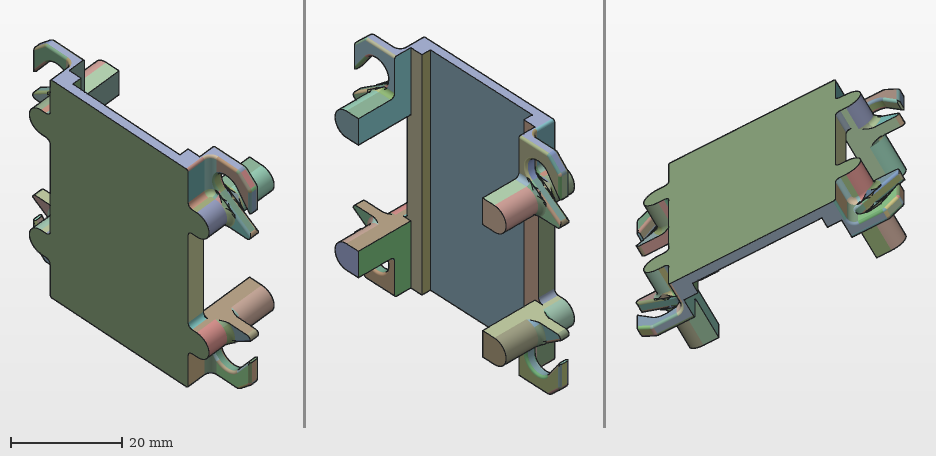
import cadquery as cq
import math

plate_half_width = 17.1
plate_half_length = 27.2
plate_thickness = 4.0
channel_half_width = 13.25
channel_floor = 1.9

blade_span = 53.89
blade_tip_x = blade_span / 2
rail_inner_x = 16.15
blade_back_y = 8.0
blade_thickness = 2.2
blade_front_y = blade_back_y - blade_thickness
blade_mid_y = (blade_front_y + blade_back_y) / 2
blade_chamfer = 3.0
hook_tip_z = 18.6

boss_x = 19.25
boss_z = 15.0
boss_radius = 3.0
boss_height = 17.0
boss_bottom_z = boss_z - boss_radius
boss_top_z = boss_z + boss_radius

seat_x = 21.0
seat_z = 21.1
seat_radius = 3.0
seat_top_z = seat_z + seat_radius
upper_flank_angle = math.radians(55)

bend_radius = 1.5
root_radius = 1.0
corner_radius = 1.0
edge_radius = 0.5

boss_offset_x = seat_x - boss_x
boss_offset_z = seat_z - boss_z
boss_distance = math.hypot(boss_offset_x, boss_offset_z)
lower_flank_angle = math.atan2(boss_offset_x, boss_offset_z) + math.acos(
    (seat_radius + boss_radius) / boss_distance
)

upper_touch_x = seat_x + seat_radius * math.sin(upper_flank_angle)
upper_touch_z = seat_z + seat_radius * math.cos(upper_flank_angle)
lower_touch_x = seat_x - seat_radius * math.sin(lower_flank_angle)
lower_touch_z = seat_z - seat_radius * math.cos(lower_flank_angle)
upper_mouth_x = upper_touch_x + (upper_touch_z - hook_tip_z) / math.tan(upper_flank_angle)
thorn_apex_x = lower_touch_x + (lower_touch_z - boss_bottom_z) / math.tan(lower_flank_angle)

thorn_radius = (thorn_apex_x - blade_tip_x) / (1 / math.tan(lower_flank_angle / 2) - 1)


def prism(outline, y_start, y_end):
    """Extrude a closed XZ outline from y_start to y_end."""
    return outline.extrude(y_start - y_end).translate((0, y_start, 0))


def block(x_start, x_end, y_start, y_end, z_start, z_end):
    """Box given by its limits along each axis."""
    size = (x_end - x_start, y_end - y_start, z_end - z_start)
    return cq.Workplane("XY").box(*size, centered=False).translate((x_start, y_start, z_start))


def round_edges(body, radius, *points):
    """Fillet the edges of the body that pass through the given points."""
    reach = 0.02
    picked = []
    for point in points:
        vertex = cq.Vertex.makeVertex(*point)
        picked += [edge for edge in body.edges().vals() if edge.distance(vertex) < reach]
    return body.newObject(picked).fillet(radius)


def make_plate_quarter():
    plate = block(0, plate_half_width, 0, plate_thickness, 0, plate_half_length)
    channel = block(0, channel_half_width, channel_floor, plate_thickness, 0, plate_half_length)
    return plate.cut(channel)


def make_rail():
    """Upright wall between the plate and the blade."""
    return block(rail_inner_x, plate_half_width, 0, blade_back_y, boss_bottom_z, plate_half_length)


def make_blade():
    """Flat sheet that holds the hook and the thorn, before the slot is cut."""
    outline = (
        cq.Workplane("XZ")
        .moveTo(rail_inner_x, boss_bottom_z)
        .lineTo(rail_inner_x, plate_half_length)
        .lineTo(blade_tip_x - blade_chamfer, plate_half_length)
        .lineTo(blade_tip_x, plate_half_length - blade_chamfer)
        .lineTo(blade_tip_x, hook_tip_z)
        .lineTo(thorn_apex_x, hook_tip_z)
        .lineTo(thorn_apex_x, boss_bottom_z)
        .close()
    )
    return prism(outline, blade_front_y, blade_back_y)


def make_boss():
    """Post with a round outer side and a flat inner side."""
    outline = (
        cq.Workplane("XZ")
        .moveTo(rail_inner_x, boss_bottom_z)
        .lineTo(boss_x, boss_bottom_z)
        .threePointArc((boss_x + boss_radius, boss_z), (boss_x, boss_top_z))
        .lineTo(rail_inner_x, boss_top_z)
        .close()
    )
    return prism(outline, 0, boss_height)


def make_slot():
    """Cutter for the slot, deep enough to clear the fillets at the boss root."""
    outline = (
        cq.Workplane("XZ")
        .moveTo(lower_touch_x, lower_touch_z)
        .threePointArc((seat_x, seat_top_z), (upper_touch_x, upper_touch_z))
        .lineTo(upper_mouth_x, hook_tip_z)
        .lineTo(thorn_apex_x, hook_tip_z)
        .lineTo(thorn_apex_x, boss_bottom_z)
        .close()
    )
    return prism(outline, blade_front_y - root_radius, blade_back_y + root_radius)


def make_frame():
    """Plate quarter, rail and unslotted blade, with the bend between rail and blade."""
    frame = make_plate_quarter().union(make_rail()).union(make_blade())
    frame = round_edges(
        frame,
        corner_radius,
        (blade_tip_x - blade_chamfer, blade_mid_y, plate_half_length),
        (blade_tip_x, blade_mid_y, plate_half_length - blade_chamfer),
    )
    return round_edges(frame, bend_radius, (plate_half_width, blade_front_y, seat_z))


def add_boss(frame):
    """Join the boss to the frame and fillet its roots."""
    plate_mid_y = plate_thickness / 2
    diagonal = boss_radius * math.sqrt(0.5)
    arc_x = boss_x + diagonal
    arc_z = boss_z + diagonal
    rail_mid_x = (rail_inner_x + plate_half_width) / 2
    body = frame.union(make_boss())
    body = round_edges(body, root_radius, (plate_half_width, plate_mid_y, boss_bottom_z))
    body = round_edges(
        body,
        root_radius,
        (plate_half_width, plate_mid_y, boss_top_z),
        (arc_x, blade_front_y, arc_z),
    )
    return round_edges(
        body,
        root_radius,
        (rail_mid_x, blade_back_y, boss_top_z),
        (arc_x, blade_back_y, arc_z),
    )


def round_outer_edges(body):
    """Round the front and back outer edges of the hook."""
    for y in (blade_front_y, blade_back_y):
        body = round_edges(body, edge_radius, (boss_x, y, plate_half_length))
    return body


def make_slot_rim_waste(slotted_frame):
    """Material taken off the slot edges to round them, leaving the boss whole.

    It is kept separate because these roundings meet the outer ones at the hook tip.
    """
    rounded = slotted_frame
    for y in (blade_front_y, blade_back_y):
        rounded = round_edges(rounded, edge_radius, (seat_x, y, seat_top_z))
    return slotted_frame.cut(rounded).cut(make_boss())


def make_thorn_waste(slotted_frame):
    """Material taken off the sharp thorn to round its end."""
    rounded = round_edges(slotted_frame, thorn_radius, (thorn_apex_x, blade_mid_y, boss_bottom_z))
    return slotted_frame.cut(rounded)


def make_quarter():
    frame = make_frame()
    slot = make_slot()
    slotted_frame = frame.cut(slot)
    quarter = round_outer_edges(add_boss(frame)).cut(slot)
    quarter = quarter.cut(make_slot_rim_waste(slotted_frame))
    return quarter.cut(make_thorn_waste(slotted_frame))


quarter = make_quarter()
half = quarter.union(quarter.mirror("YZ"))
result = half.union(half.mirror("XY")).clean().solids()